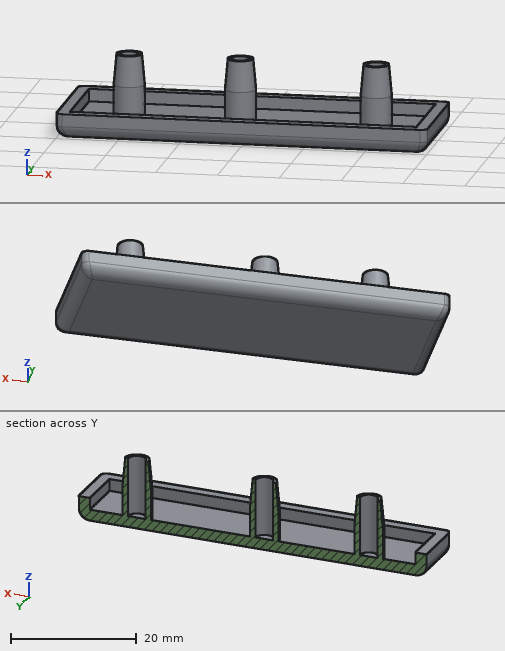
import cadquery as cq

length = 60.0
width = 20.0
tray_height = 4.0
corner_radius = 1.0
bottom_radius = 2.0
wall = 2.0
floor_thickness = 2.0

pin_positions = (-20.0, -2.0, 20.0)
pin_diameter = 5.0
pin_tip_diameter = 4.1
bore_diameter = 3.0
taper_start = 7.0
pin_top = 12.0


def make_tray():
    """Rectangular tray with rounded bottom edges and a sharp-cornered pocket."""
    body = cq.Workplane("XY").box(length, width, tray_height, centered=(True, True, False))
    body = body.edges("|Z").fillet(corner_radius)
    body = body.faces("<Z").edges().fillet(bottom_radius)
    pocket = (
        cq.Workplane("XY")
        .workplane(offset=floor_thickness)
        .rect(length - 2 * wall, width - 2 * wall)
        .extrude(tray_height - floor_thickness)
    )
    return body.cut(pocket)


def make_pin(x):
    """Cylindrical pin with a tapered tip and a bore down to the tray floor."""
    shank = (
        cq.Workplane("XY")
        .workplane(offset=floor_thickness)
        .center(x, 0)
        .circle(pin_diameter / 2)
        .extrude(taper_start - floor_thickness)
    )
    tip = (
        cq.Workplane("XY")
        .workplane(offset=taper_start)
        .center(x, 0)
        .circle(pin_diameter / 2)
        .workplane(offset=pin_top - taper_start)
        .circle(pin_tip_diameter / 2)
        .loft()
    )
    bore = (
        cq.Workplane("XY")
        .workplane(offset=floor_thickness)
        .center(x, 0)
        .circle(bore_diameter / 2)
        .extrude(pin_top - floor_thickness)
    )
    return shank.union(tip).cut(bore)


result = make_tray()
for pin_x in pin_positions:
    result = result.union(make_pin(pin_x))